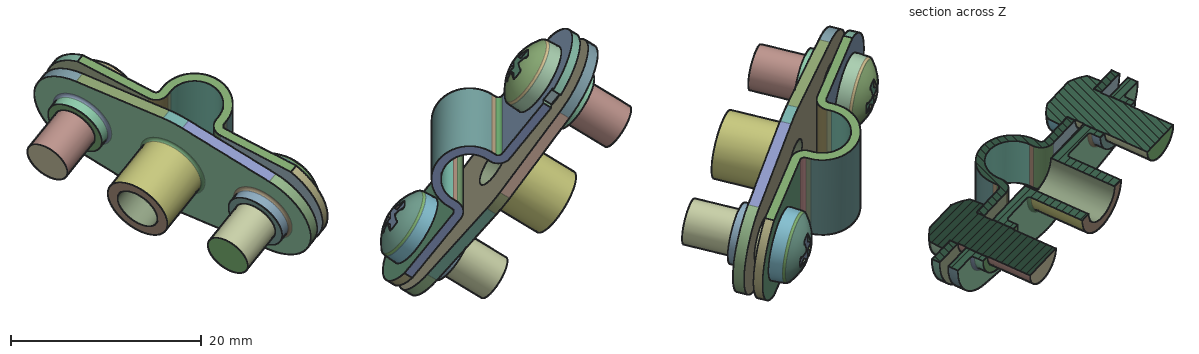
import cadquery as cq
import math


plate_length = 34.5
plate_end_radius = 6.0
plate_half_height = 7.5
plate_tip_radius = 9.0
plate_front = 6.73
plate_thickness = 1.25
plate_back = plate_front + plate_thickness
screw_spacing = plate_length - 2 * plate_end_radius
screw_positions = [-screw_spacing / 2, screw_spacing / 2]

boss_diameter = 7.45
boss_bore = 4.97
collar_diameter = 6.7
collar_height = 1.4
root_fillet = 0.3

strap_gap = 1.05
strap_thickness = 1.0
strap_length = 34.5
strap_height = 11.95
strap_end_radius = 6.5
strap_front = plate_back + strap_gap
strap_back = strap_front + strap_thickness
saddle_top = 15.0
saddle_radius = 4.0
saddle_inner_radius = saddle_radius - strap_thickness
saddle_center = saddle_top - saddle_radius
bend_inner_radius = 0.5
bend_outer_radius = bend_inner_radius + strap_thickness

notch_left = -13.73
notch_right = -12.0
notch_depth = 0.7

shank_diameter = 5.0
head_base_radius = 4.0
head_rim_radius = 3.9
head_side_height = 1.65
dome_height = 1.55
head_fillet = 0.4
slot_width = 1.28
slot_depth = 0.38

diagonal = math.sqrt(0.5)


def xz_sketch(y):
    """Workplane at the given y with local axes X and Z; a negative extrusion goes toward +Y."""
    return cq.Workplane("XZ", origin=(0, y, 0))


def cylinder(x, diameter, y_start, y_end):
    """Solid cylinder along Y, centred at the given x and at z = 0."""
    return xz_sketch(y_start).center(x, 0).circle(diameter / 2).extrude(y_start - y_end)


def plate_outline():
    """Plate blank: round ends joined by straight tangents to shallow arcs at the middle."""
    end_x = screw_spacing / 2
    tip_center = plate_half_height - plate_tip_radius
    center_distance = math.hypot(end_x, tip_center)
    slope = math.asin((plate_tip_radius - plate_end_radius) / center_distance)
    slope -= math.atan2(-tip_center, end_x)
    tip_x = plate_tip_radius * math.sin(slope)
    tip_z = tip_center + plate_tip_radius * math.cos(slope)
    tangent_x = end_x + plate_end_radius * math.sin(slope)
    tangent_z = plate_end_radius * math.cos(slope)
    return (
        xz_sketch(plate_front)
        .moveTo(-tip_x, tip_z)
        .threePointArc((0, plate_half_height), (tip_x, tip_z))
        .lineTo(tangent_x, tangent_z)
        .threePointArc((plate_length / 2, 0), (tangent_x, -tangent_z))
        .lineTo(tip_x, -tip_z)
        .threePointArc((0, -plate_half_height), (-tip_x, -tip_z))
        .lineTo(-tangent_x, -tangent_z)
        .threePointArc((-plate_length / 2, 0), (-tangent_x, tangent_z))
        .close()
        .extrude(-plate_thickness)
    )


def boss_with_root(x, diameter, height):
    """Boss standing on the plate front, with a concave fillet at its root."""
    radius = diameter / 2
    blend = root_fillet * (1 - diagonal)
    tip = plate_front - height
    return (
        cq.Workplane("XY")
        .moveTo(0, tip)
        .lineTo(radius, tip)
        .lineTo(radius, plate_front - root_fillet)
        .threePointArc((radius + blend, plate_front - blend), (radius + root_fillet, plate_front))
        .lineTo(0, plate_front)
        .close()
        .revolve(axisStart=(0, 0, 0), axisEnd=(0, 1, 0))
        .translate((x, 0, 0))
    )


def make_base_plate():
    plate = plate_outline().union(boss_with_root(0, boss_diameter, plate_front))
    plate = plate.cut(cylinder(0, boss_bore, 0, plate_back))
    for x in screw_positions:
        plate = plate.union(boss_with_root(x, collar_diameter, collar_height))
        plate = plate.cut(cylinder(x, shank_diameter, 0, plate_back))
    return plate


def strap_profile():
    """Bent sheet section: flat, bend, half-round saddle, bend, flat."""
    end_x = strap_length / 2
    bend_x = saddle_inner_radius + bend_outer_radius
    bend_y = strap_front + bend_outer_radius
    outer_mid = bend_outer_radius * diagonal
    inner_mid = bend_inner_radius * diagonal
    return (
        cq.Workplane("XY")
        .moveTo(-end_x, strap_front)
        .lineTo(-bend_x, strap_front)
        .threePointArc((-bend_x + outer_mid, bend_y - outer_mid), (-saddle_inner_radius, bend_y))
        .lineTo(-saddle_inner_radius, saddle_center)
        .threePointArc((0, saddle_center + saddle_inner_radius), (saddle_inner_radius, saddle_center))
        .lineTo(saddle_inner_radius, bend_y)
        .threePointArc((bend_x - outer_mid, bend_y - outer_mid), (bend_x, strap_front))
        .lineTo(end_x, strap_front)
        .lineTo(end_x, strap_back)
        .lineTo(bend_x, strap_back)
        .threePointArc((bend_x - inner_mid, bend_y - inner_mid), (saddle_radius, bend_y))
        .lineTo(saddle_radius, saddle_center)
        .threePointArc((0, saddle_top), (-saddle_radius, saddle_center))
        .lineTo(-saddle_radius, bend_y)
        .threePointArc((-bend_x + inner_mid, bend_y - inner_mid), (-bend_x, strap_back))
        .lineTo(-end_x, strap_back)
        .close()
        .extrude(strap_height / 2, both=True)
    )


def strap_outline():
    """Straight long edges and shallow arcs across the ends."""
    half_length = strap_length / 2
    half_height = strap_height / 2
    arc_rise = strap_end_radius - math.sqrt(strap_end_radius**2 - half_height**2)
    corner_x = half_length - arc_rise
    return (
        xz_sketch(strap_front)
        .moveTo(-corner_x, half_height)
        .lineTo(corner_x, half_height)
        .threePointArc((half_length, 0), (corner_x, -half_height))
        .lineTo(-corner_x, -half_height)
        .threePointArc((-half_length, 0), (-corner_x, half_height))
        .close()
        .extrude(strap_front - saddle_top)
    )


def make_strap():
    strap = strap_profile().intersect(strap_outline())
    notch_corner = (notch_left, strap_front, -strap_height / 2)
    notch_width = notch_right - notch_left
    notch = cq.Workplane("XY", origin=notch_corner).box(
        notch_width, strap_thickness, notch_depth, centered=False
    )
    strap = strap.cut(notch)
    for x in screw_positions:
        strap = strap.cut(cylinder(x, shank_diameter, strap_front, strap_back))
    return strap


def make_screw(x):
    """Plain shank with a domed head carrying a shallow cross slot."""
    rim_y = strap_back + head_side_height
    head_top = rim_y + dome_height
    dome_radius = (head_rim_radius**2 + dome_height**2) / (2 * dome_height)
    mid_radius = head_rim_radius / 2
    mid_y = head_top - dome_radius + math.sqrt(dome_radius**2 - mid_radius**2)
    head = (
        cq.Workplane("XY")
        .moveTo(0, strap_back)
        .lineTo(head_base_radius, strap_back)
        .lineTo(head_rim_radius, rim_y)
        .threePointArc((mid_radius, mid_y), (0, head_top))
        .close()
        .revolve(axisStart=(0, 0, 0), axisEnd=(0, 1, 0))
        .edges(cq.NearestToPointSelector((0, rim_y, 0)))
        .fillet(head_fillet)
    )
    slot_length = 2 * head_base_radius
    slot_y = head_top - slot_depth / 2
    for size_x, size_z in [(slot_length, slot_width), (slot_width, slot_length)]:
        head = head.cut(cq.Workplane("XY", origin=(0, slot_y, 0)).box(size_x, slot_depth, size_z))
    screw = head.union(cylinder(0, shank_diameter, 0, strap_back))
    return screw.translate((x, 0, 0))


base_plate = make_base_plate()
strap = make_strap()
screws = [make_screw(x) for x in screw_positions]

result = cq.Compound.makeCompound(
    [base_plate.val(), strap.val(), *[screw.val() for screw in screws]]
)